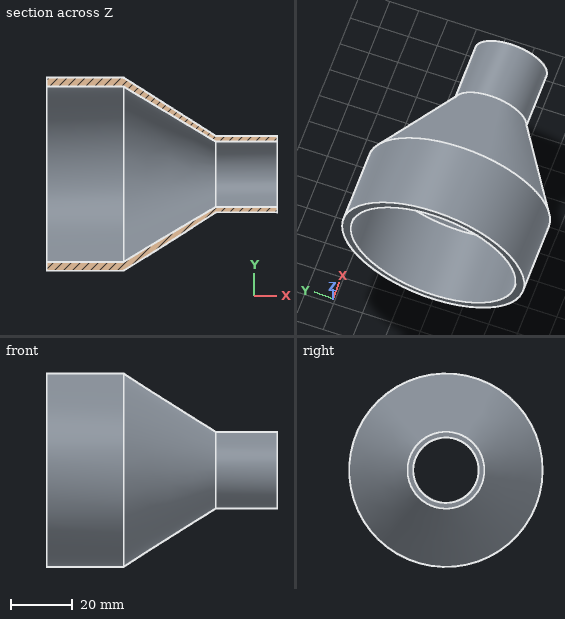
import cadquery as cq

large_outer_diameter = 63.0
large_bore_diameter = 57.0
small_outer_diameter = 25.0
small_bore_diameter = 21.2

large_end_length = 25.0
cone_length = 30.0
small_end_length = 20.0

cone_start = large_end_length
cone_end = cone_start + cone_length
total_length = cone_end + small_end_length


def stepped_cone(large_diameter, small_diameter):
    """Solid of two coaxial cylinders joined by a cone, starting at X = 0."""
    large_radius = large_diameter / 2
    small_radius = small_diameter / 2
    half_profile = (
        cq.Workplane("XY")
        .moveTo(0, 0)
        .lineTo(0, large_radius)
        .lineTo(cone_start, large_radius)
        .lineTo(cone_end, small_radius)
        .lineTo(total_length, small_radius)
        .lineTo(total_length, 0)
        .close()
    )
    return half_profile.revolve(360, (0, 0, 0), (1, 0, 0))


outer_body = stepped_cone(large_outer_diameter, small_outer_diameter)
bore = stepped_cone(large_bore_diameter, small_bore_diameter)

result = outer_body.cut(bore)